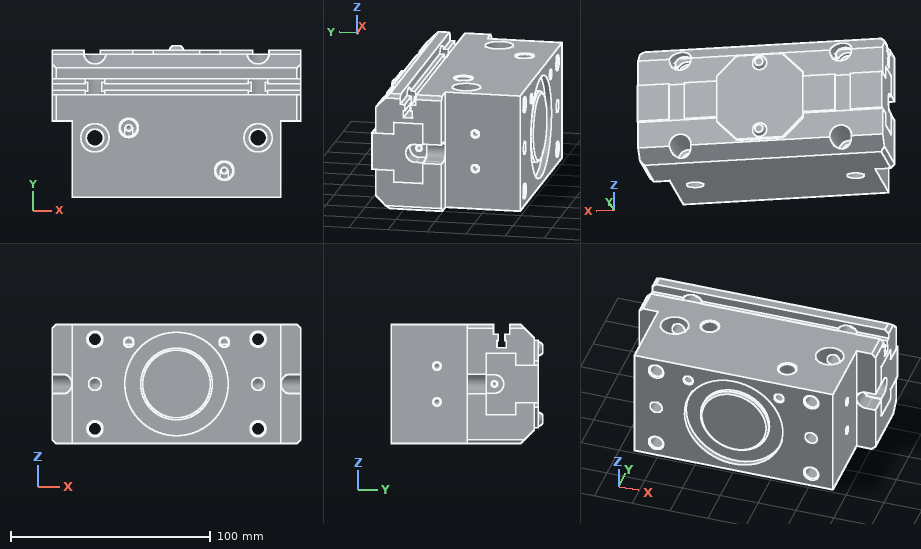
import cadquery as cq
import math


height = 60.0
base_width = 105.0
head_width = 125.0
shoulder_y = 38.3
head_y = 72.0
head_chamfer = 7.0
corner_chamfer = 2.0
head_half = head_width / 2
top_z = height / 2

plate_size = 44.0
plate_thickness = 2.0
plate_chamfer = 10.2
plate_y = head_y + plate_thickness
screw_z = 17.7
screw_radius = 3.6
screw_tip_radius = 2.0
screw_height = 2.2

jaw_neck_width = 18.9
jaw_foot_width = 31.0
jaw_foot_y = 47.8
jaw_neck_y = 62.7
jaw_inner_x = plate_size / 2
key_slot_x = 42.4
key_slot_width = 8.0
end_pocket_width = 9.3
end_pocket_depth = 10.0
end_pocket_y = 51.9
end_hole_diameter = 2.5
end_hole_mouth_diameter = 3.2
end_hole_depth = 8.0

relief_width = 10.0

sensor_y = 55.5
sensor_steps = ((8.0, 4.9), (3.2, 8.2), (4.6, 11.7))

mount_x = 41.0
mount_z = 22.5
mount_diameter = 6.8
mount_mouth_diameter = 8.0
mount_counterbore = 11.0
mount_counterbore_y = 47.0
pin_diameter = 6.4
pin_depth = 8.0
cross_y = 29.9
cross_diameter = 8.6
cross_counterbore = 14.2
cross_counterbore_depth = 12.0

port_x = 24.0
port_diameter = 8.6
port_mouth_diameter = 9.7
port_depth = 10.0
pilot_diameter = 3.2
pilot_depth = 12.0
air_hole_z = 21.0
air_hole_diameter = 4.4
air_hole_mouth_diameter = 5.2
ports = ((-port_x, 34.9), (port_x, 13.4))

side_hole_y = 23.0
side_hole_z = 9.0
side_hole_diameter = 3.4
side_hole_mouth_diameter = 4.2
side_hole_depth = 8.0

recess_diameter = 52.0
recess_depth = 3.0
piston_diameter = 36.0
piston_setback = 0.5
piston_chamfer = 1.0

drill_half_angle = math.radians(59)

INTO_FRONT = (0, 1, 0)
INTO_TOP = (0, 0, -1)


def block(x_range, y_range, z_range):
    """Box given by its limits along each axis."""
    sizes = [high - low for low, high in (x_range, y_range, z_range)]
    corner = (x_range[0], y_range[0], z_range[0])
    return cq.Workplane(cq.Solid.makeBox(*sizes, cq.Vector(*corner)))


def centred(width):
    return (-width / 2, width / 2)


def cylinder(diameter, length, start, direction):
    return cq.Workplane(cq.Solid.makeCylinder(diameter / 2, length, cq.Vector(*start), cq.Vector(*direction)))


def drilled_hole(diameter, depth, start, direction, mouth_diameter=None):
    """Blind hole with a drill-point end and, if a mouth is given, a 45 degree chamfer."""
    radius = diameter / 2
    origin = cq.Vector(*start)
    axis = cq.Vector(*direction)
    point_length = radius / math.tan(drill_half_angle)
    hole = cylinder(diameter, depth, start, direction)
    point = cq.Solid.makeCone(radius, 0, point_length, origin + axis * depth, axis)
    hole = hole.union(cq.Workplane(point))
    if mouth_diameter:
        mouth_radius = mouth_diameter / 2
        mouth = cq.Solid.makeCone(mouth_radius, radius, mouth_radius - radius, origin, axis)
        hole = hole.union(cq.Workplane(mouth))
    return hole




def housing_blank():
    base = block(centred(base_width), (0, shoulder_y), centred(height))
    head = block(centred(head_width), (shoulder_y, head_y), centred(height))
    head = head.edges("|Y").chamfer(corner_chamfer)
    profile = (
        cq.Workplane("YZ")
        .rect(2 * head_y, height)
        .extrude(head_half, both=True)
        .edges("|X and >Y")
        .chamfer(head_chamfer)
    )
    return base.union(head.intersect(profile))


def cover_plate():
    plate = block(centred(plate_size), (head_y, plate_y), centred(plate_size))
    return plate.edges("|Y").chamfer(plate_chamfer)


def button_head(z):
    """Screw head shaped as a slice of a sphere with a flat tip."""
    drop = (screw_radius**2 - screw_tip_radius**2 - screw_height**2) / (2 * screw_height)
    sphere_radius = math.hypot(screw_radius, drop)
    middle = screw_height / 2
    bulge = (math.sqrt(sphere_radius**2 - (middle + drop) ** 2), middle)
    return (
        cq.Workplane("XY")
        .lineTo(screw_radius, 0)
        .threePointArc(bulge, (screw_tip_radius, screw_height))
        .lineTo(0, screw_height)
        .close()
        .revolve(360, (0, 0), (0, 1))
        .translate((0, plate_y, z))
    )


def jaw_slot(side):
    """T-shaped space filled by one jaw, open at the end face and at the +Y face."""
    x_range = sorted((side * jaw_inner_x, side * head_half))
    foot = block(x_range, (jaw_foot_y, jaw_neck_y), centred(jaw_foot_width))
    neck = block(x_range, (jaw_neck_y, plate_y), centred(jaw_neck_width))
    return foot.union(neck)


def relief_groove(side):
    """Round-bottomed groove along Y from the shoulder to the jaw."""
    centre_x = side * (base_width + relief_width) / 2
    length = jaw_foot_y - shoulder_y
    round_part = cylinder(relief_width, length, (centre_x, shoulder_y, 0), INTO_FRONT)
    x_range = sorted((centre_x, side * head_half))
    return round_part.union(block(x_range, (shoulder_y, jaw_foot_y), centred(relief_width)))


def sensor_slot():
    slot = cq.Workplane()
    start_z = top_z
    for width, depth in sensor_steps:
        y_range = (sensor_y - width / 2, sensor_y + width / 2)
        slot = slot.add(block(centred(head_width), y_range, (top_z - depth, start_z)))
        start_z = top_z - depth
    return slot.combine()


def mounting_hole(x, z):
    """Through hole along Y, chamfered at the front and counterbored from the +Y face."""
    hole = drilled_hole(mount_diameter, head_y, (x, 0, z), INTO_FRONT, mount_mouth_diameter)
    bore_length = head_y - mount_counterbore_y
    return hole.union(cylinder(mount_counterbore, bore_length, (x, mount_counterbore_y, z), INTO_FRONT))


def cross_hole(x):
    """Through hole along Z, counterbored at the +Z face."""
    start = (x, cross_y, top_z)
    counterbore = cylinder(cross_counterbore, cross_counterbore_depth, start, INTO_TOP)
    return counterbore.union(cylinder(cross_diameter, height, start, INTO_TOP))


def air_port(x, y):
    """Port in the +Z face with a pilot hole in its floor, met by a small hole from the front face."""
    start = (x, y, top_z)
    chamfer = (port_mouth_diameter - port_diameter) / 2
    mouth = cq.Solid.makeCone(
        port_mouth_diameter / 2, port_diameter / 2, chamfer, cq.Vector(*start), cq.Vector(*INTO_TOP)
    )
    port = cylinder(port_diameter, port_depth, start, INTO_TOP).union(cq.Workplane(mouth))
    pilot = drilled_hole(pilot_diameter, pilot_depth, start, INTO_TOP)
    air_hole = drilled_hole(air_hole_diameter, y, (x, 0, air_hole_z), INTO_FRONT, air_hole_mouth_diameter)
    return port.union(pilot).union(air_hole)


def piston_recess():
    """Ring-shaped recess around the chamfered piston end."""
    recess = cylinder(recess_diameter, recess_depth, (0, 0, 0), INTO_FRONT)
    piston = cylinder(piston_diameter, recess_depth - piston_setback, (0, piston_setback, 0), INTO_FRONT)
    return recess.cut(piston.faces("<Y").chamfer(piston_chamfer))


def make_housing():
    body = housing_blank().union(cover_plate())
    for z in (-screw_z, screw_z):
        body = body.union(button_head(z))
    body = body.cut(sensor_slot()).cut(piston_recess())
    for side in (-1, 1):
        body = body.cut(jaw_slot(side)).cut(relief_groove(side))
        body = body.cut(cross_hole(side * mount_x))
        body = body.cut(drilled_hole(pin_diameter, pin_depth, (side * mount_x, 0, 0), INTO_FRONT))
        for z in (-mount_z, mount_z):
            body = body.cut(mounting_hole(side * mount_x, z))
        for z in (-side_hole_z, side_hole_z):
            start = (side * base_width / 2, side_hole_y, z)
            into_end = (-side, 0, 0)
            body = body.cut(
                drilled_hole(side_hole_diameter, side_hole_depth, start, into_end, side_hole_mouth_diameter)
            )
    for x, y in ports:
        body = body.cut(air_port(x, y))
    return body




def end_pocket(side):
    """Round-ended pocket in the jaw's end face, continuing the relief groove."""
    x_range = sorted((side * (head_half - end_pocket_depth), side * head_half))
    pocket = block(x_range, (jaw_foot_y, end_pocket_y), centred(end_pocket_width))
    start = (x_range[0], end_pocket_y, 0)
    return pocket.union(cylinder(end_pocket_width, end_pocket_depth, start, (1, 0, 0)))


def make_jaw(side):
    jaw = jaw_slot(side).cut(end_pocket(side))
    key_x = side * key_slot_x
    x_range = (key_x - key_slot_width / 2, key_x + key_slot_width / 2)
    jaw = jaw.cut(block(x_range, (head_y, plate_y), centred(jaw_neck_width)))
    start = (side * (head_half - end_pocket_depth), end_pocket_y, 0)
    hole = drilled_hole(end_hole_diameter, end_hole_depth, start, (-side, 0, 0), end_hole_mouth_diameter)
    return jaw.cut(hole)


housing = make_housing()
jaws = [make_jaw(side) for side in (-1, 1)]

result = cq.Compound.makeCompound([housing.val(), *[jaw.val() for jaw in jaws]])